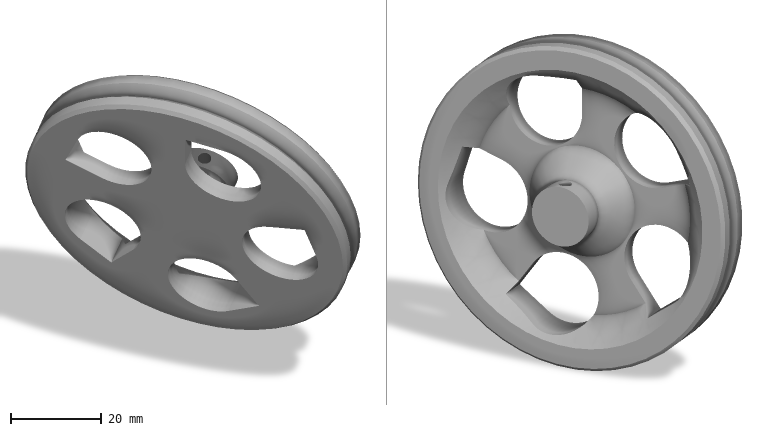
import cadquery as cq
import math

wheel_diameter = 76.0
wheel_width = 10.0
edge_chamfer = 0.75

groove_width = 4.0
groove_depth = 2.0

web_thickness = 4.0
recess_diameter = 65.35

overall_width = 15.0
hub_diameter = 14.0
hub_length = overall_width - wheel_width
pin_hole_diameter = 3.0

window_count = 5
window_radius = 9.0
window_tip_distance = 29.65

wheel_radius = wheel_diameter / 2


def make_wheel():
    """Chamfered disc with a V groove, revolved about the Y axis."""
    middle = wheel_width / 2
    half_groove = groove_width / 2
    profile = [
        (0, 0),
        (wheel_radius - edge_chamfer, 0),
        (wheel_radius, edge_chamfer),
        (wheel_radius, middle - half_groove),
        (wheel_radius - groove_depth, middle),
        (wheel_radius, middle + half_groove),
        (wheel_radius, wheel_width - edge_chamfer),
        (wheel_radius - edge_chamfer, wheel_width),
        (0, wheel_width),
    ]
    return cq.Workplane("XY").polyline(profile).close().revolve(360, (0, 0), (0, 1))


def make_recess():
    """Ring-shaped pocket in the back face with walls sloping at 45 degrees."""
    recess_depth = wheel_width - web_thickness
    hub_radius = hub_diameter / 2
    recess_radius = recess_diameter / 2
    profile = [
        (hub_radius, wheel_width),
        (hub_radius + recess_depth, web_thickness),
        (recess_radius - recess_depth, web_thickness),
        (recess_radius, wheel_width),
    ]
    return cq.Workplane("XY").polyline(profile).close().revolve(360, (0, 0), (0, 1))


def make_hub():
    """Plain cylinder standing on the back face."""
    back_face = cq.Workplane("XZ", origin=(0, wheel_width, 0))
    return back_face.circle(hub_diameter / 2).extrude(-hub_length)


def make_pin_hole():
    """Radial hole from the top of the hub to its axis."""
    hole_y = wheel_width + hub_length / 2
    axis_plane = cq.Workplane("XY", origin=(0, hole_y, 0))
    return axis_plane.circle(pin_hole_diameter / 2).extrude(hub_diameter / 2)


def make_window():
    """Teardrop above the axis, its square corner at X = 0 pointing up and to -X."""
    center_z = window_tip_distance - window_radius
    arc_offset = window_radius * math.sqrt(0.5)
    return (
        cq.Workplane("XZ")
        .moveTo(0, center_z)
        .lineTo(0, window_tip_distance)
        .lineTo(window_radius, window_tip_distance)
        .threePointArc((window_radius + arc_offset, center_z - arc_offset), (0, center_z))
        .close()
        .extrude(-wheel_width)
    )


result = make_wheel().cut(make_recess()).union(make_hub()).cut(make_pin_hole())

window = make_window()
for index in range(window_count):
    angle = index * 360 / window_count
    result = result.cut(window.rotate((0, 0, 0), (0, 1, 0), angle))